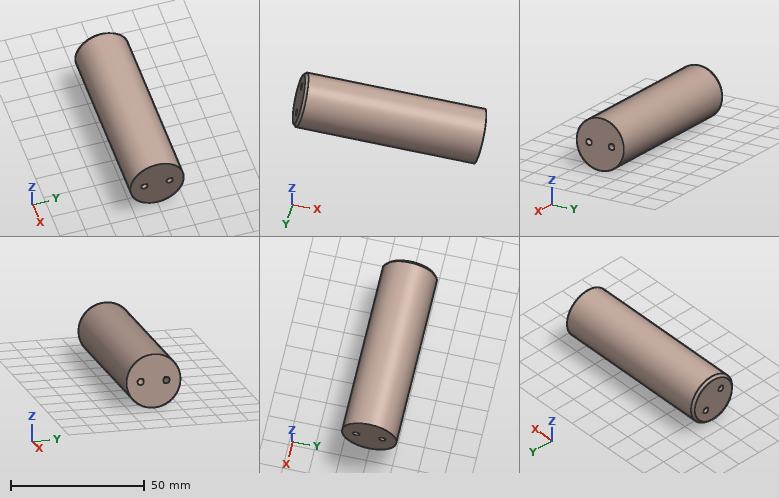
import cadquery as cq
import math

length = 70.0
diameter = 21.0
chamfer = 1.05

channel_diameter = 2.45
channel_spacing = 10.0
channel_tilt = 40.7
helix_angle = 30.0
helix_hand = 1

helix_pitch = math.pi * diameter / math.tan(math.radians(helix_angle))
twist = helix_hand * 360.0 * length / helix_pitch


def make_bar():
    bar = cq.Workplane("YZ").circle(diameter / 2).extrude(length)
    return bar.faces("<X").chamfer(chamfer)


def make_channels():
    """Two opposite round sections twisted together about the bar axis."""
    start_y = -channel_spacing / 2 * math.cos(math.radians(channel_tilt))
    start_z = channel_spacing / 2 * math.sin(math.radians(channel_tilt))
    return (
        cq.Workplane("YZ")
        .pushPoints([(start_y, start_z), (-start_y, -start_z)])
        .circle(channel_diameter / 2)
        .twistExtrude(length, twist)
    )


result = make_bar().cut(make_channels()).translate((-length / 2, 0, 0))